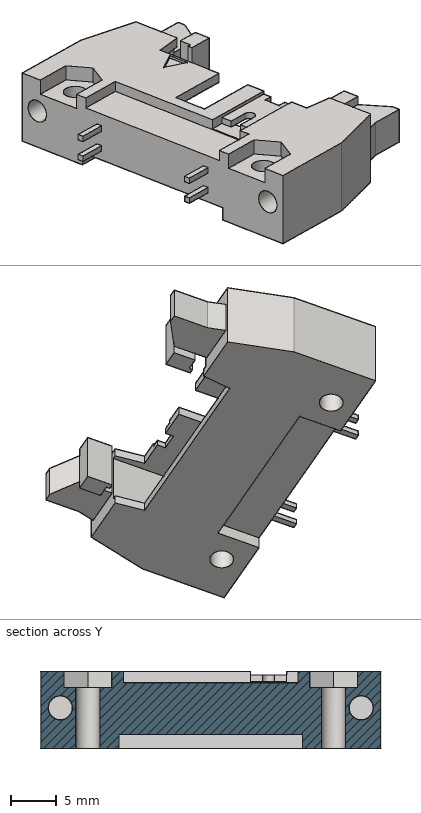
import cadquery as cq
import math


body_length = 37.4
body_height = 8.5
shoulder_y = 10.02
wall_edge_y = 13.85
tower_y = 17.25
tower_outer_x = 16.83
tower_tip_x = 10.92
tower_root_x = 10.5
mid_z = body_height / 2

wall_thickness = 1.12
cavity_half_length = 11.37
cavity_back_y = 7.4

ledge_length = 19.15
ledge_depth = 1.25
ledge_y = 5.05
base_recess_length = 20.12
base_recess_depth = 1.55

mount_x = 13.5
mount_y = 2.88
mount_hole_diameter = 2.6
nut_across_flats = 5.2
nut_pocket_depth = 1.75

end_hole_x = 16.53
end_hole_z = 4.5
end_hole_diameter = 2.6
end_hole_depth = 5.6

notch_length = 4.1
notch_y = 6.45

strip_x = 6.35
strip_length = 3.95
strip_depth = 0.37
strip_step_y = 6.65
key_slot_length = 1.3
key_slot_tip_y = 9.65
key_notch_length = 2.0
key_notch_width = 0.97

marker_x = -7.63
marker_length = 2.55
marker_base_y = 13.55
marker_tip_y = 10.95
marker_depth = 0.3

latch_thickness = 4.08
latch_root_y = 15.35
latch_inner_x = 11.67
latch_outer_x = 15.85
latch_foot_x = 16.38
latch_bend_y = 19.22
latch_tip_y = 23.3
latch_tip_x = 14.9
hook_height = 6.1
hook_end_x = 9.65
hook_lip_x = 10.25
hook_top_y = 21.25
hook_bottom_y = 18.65
hook_lip_y = 18.25

pin_size = 0.67
pin_length = 3.2
pin_x = 7.63
pin_offset_z = 1.25


def block(x_center, x_length, y_start, y_end, z_start, z_end):
    """Axis-aligned box, centred on x_center along X."""
    size = (x_length, y_end - y_start, z_end - z_start)
    box = cq.Workplane("XY").box(*size, centered=(True, False, False))
    return box.translate((x_center, y_start, z_start))


def plate(points, z_center, height):
    """XY outline extruded evenly about z_center."""
    return cq.Workplane("XY").workplane(offset=z_center).polyline(points).close().extrude(height / 2, both=True)


def top_cut(x_center, x_length, y_start, y_end, depth):
    """Box cutter sunk from the top face."""
    return block(x_center, x_length, y_start, y_end, body_height - depth, body_height)


def make_housing():
    right_side = [
        (body_length / 2, 0),
        (body_length / 2, shoulder_y),
        (tower_outer_x, tower_y),
        (tower_tip_x, tower_y),
        (tower_root_x, wall_edge_y),
    ]
    left_side = [(-x, y) for x, y in reversed(right_side)]
    housing = plate(right_side + left_side, mid_z, body_height)
    cavity = block(0, 2 * cavity_half_length, cavity_back_y, tower_y,
                   wall_thickness, body_height - wall_thickness)
    ledge = top_cut(0, ledge_length, 0, ledge_y, ledge_depth)
    base_recess = block(0, base_recess_length, 0, ledge_y, 0, base_recess_depth)
    notch = top_cut(0, notch_length, notch_y, wall_edge_y, wall_thickness)
    return housing.cut(cavity).cut(ledge).cut(base_recess).cut(notch)


def key_strip_cut():
    strip = top_cut(strip_x, strip_length, ledge_y, wall_edge_y, strip_depth)
    step = top_cut(strip_x, strip_length, ledge_y, strip_step_y, wall_thickness)
    slot_radius = key_slot_length / 2
    slot_end_y = key_slot_tip_y - slot_radius
    slot = top_cut(strip_x, key_slot_length, strip_step_y, slot_end_y, wall_thickness)
    slot_end = (
        cq.Workplane("XY", origin=(strip_x, slot_end_y, body_height))
        .circle(slot_radius)
        .extrude(-wall_thickness)
    )
    edge_notch = top_cut(strip_x, key_notch_length, wall_edge_y - key_notch_width, wall_edge_y, wall_thickness)
    return strip.union(step).union(slot).union(slot_end).union(edge_notch)


def marker_cut():
    triangle = [
        (marker_x - marker_length / 2, marker_base_y),
        (marker_x + marker_length / 2, marker_base_y),
        (marker_x, marker_tip_y),
    ]
    return cq.Workplane("XY").workplane(offset=body_height).polyline(triangle).close().extrude(-marker_depth)


def mounting_cut(side):
    """Screw hole with a nut pocket open to the pin face, and the blind hole beside it."""
    x = side * mount_x
    screw_hole = cq.Workplane("XY", origin=(x, mount_y, 0)).circle(mount_hole_diameter / 2).extrude(body_height)
    nut_corner_radius = nut_across_flats / math.sqrt(3)
    nut_side_y = mount_y + nut_corner_radius / 2
    pocket_outline = [
        (x - nut_across_flats / 2, 0),
        (x + nut_across_flats / 2, 0),
        (x + nut_across_flats / 2, nut_side_y),
        (x, mount_y + nut_corner_radius),
        (x - nut_across_flats / 2, nut_side_y),
    ]
    pocket = plate(pocket_outline, body_height - nut_pocket_depth / 2, nut_pocket_depth)
    end_hole = (
        cq.Workplane("XZ", origin=(side * end_hole_x, 0, end_hole_z))
        .circle(end_hole_diameter / 2)
        .extrude(-end_hole_depth)
    )
    return screw_hole.union(pocket).union(end_hole)


def make_latch(side):
    """Lever arm with a taller, lipped hook pointing inwards."""
    arm = [
        (latch_inner_x, latch_root_y),
        (latch_foot_x, latch_root_y),
        (latch_foot_x, tower_y),
        (latch_outer_x, latch_bend_y),
        (latch_outer_x, latch_tip_y),
        (latch_tip_x, latch_tip_y),
        (latch_inner_x, hook_top_y),
    ]
    hook = [
        (latch_inner_x, hook_top_y),
        (hook_end_x, hook_top_y),
        (hook_end_x, hook_lip_y),
        (hook_lip_x, hook_lip_y),
        (hook_lip_x, hook_bottom_y),
        (latch_inner_x, hook_bottom_y),
    ]
    arm_solid = plate([(side * x, y) for x, y in arm], mid_z, latch_thickness)
    hook_solid = plate([(side * x, y) for x, y in hook], mid_z, hook_height)
    return arm_solid.union(hook_solid)


def make_pin(x, z):
    return block(x, pin_size, -pin_length, 0, z - pin_size / 2, z + pin_size / 2)


result = make_housing().cut(key_strip_cut()).cut(marker_cut())
for side in (-1, 1):
    result = result.cut(mounting_cut(side)).union(make_latch(side))
    for level in (-1, 1):
        result = result.union(make_pin(side * pin_x, mid_z + level * pin_offset_z))